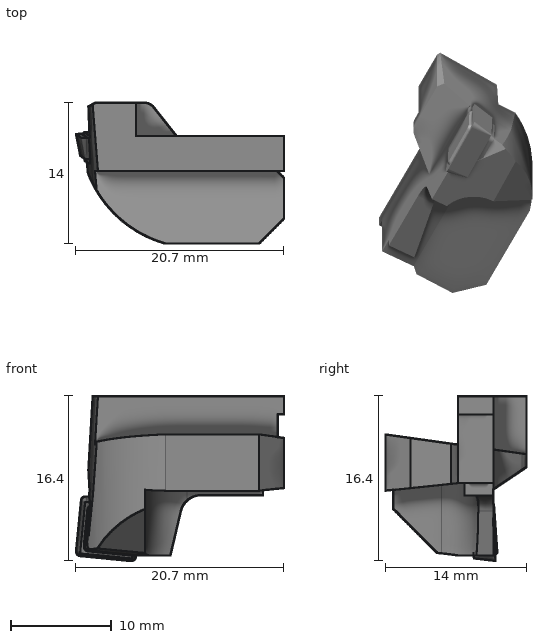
import cadquery as cq
import math


def tan(angle):
    return math.tan(math.radians(angle))


LENGTH = 20.65
DEPTH = 14.0
HEIGHT = 16.37
REACH = 30.95

BAR_FRONT = 7.18
BAR_BACK = 10.7
NOTCH_TOP = 14.55
NOTCH_DEPTH = 0.62

HEAD_CORNER_X = 1.96
HEAD_CORNER_ANGLE = 29.0
HEAD_BACK_END = 7.35
HEAD_ROOT_END = 9.97
HEAD_CORNER_DIAMETER = 2.5
HEAD_SHELF_START = 5.96
HEAD_UNDERSIDE_BACK = 9.33
HEAD_UNDERSIDE_FRONT = 7.1

NOSE_RADIUS = 11.58
NOSE_CENTER_X = 12.01
NOSE_CENTER_Y = 11.15
FLANGE_TOP = 12.57
FLANGE_TOP_ANGLE = 8.0
FLANGE_BOTTOM = 6.98
FLANGE_BOTTOM_ANGLE = 6.0
FLANGE_ROOT = FLANGE_BOTTOM + BAR_FRONT * tan(FLANGE_BOTTOM_ANGLE)
FLANGE_CHAMFER = 2.48
FLANGE_REAR_CHAMFER = 0.66

NECK_CORNER_X = 1.63
NECK_CORNER_ANGLE = HEAD_CORNER_ANGLE
RECESS_START = 6.87
RECESS_RADIUS = 3.63
RECESS_CENTER_Y = 5.57
RECESS_END = 11.02
FOOT_BOTTOM = 6.52
FOOT_END = 18.58
FOOT_FRONT = 7.85
NECK_BOTTOM = 0.54
NECK_TIP = 9.37
NECK_LEAN = 13.3
NECK_FILLET = 2.0
BEVEL_BOTTOM_Y = 5.12
BEVEL_BOTTOM_Z = 0.8
BEVEL_ANGLE = 45.0
BASE_SLOPE_ANGLE = 6.0
BASE_TILT = 5.4

UPPER_FACE_POINT = (2.19, BAR_FRONT, HEIGHT)
UPPER_FACE_LEAN = 3.5
UPPER_FACE_SWEEP = 4.6
LOWER_FACE_POINT = (1.7, 5.78, 6.52)
LOWER_FACE_LEAN = 4.8
LOWER_FACE_SWEEP = 4.7

RELIEF_POINT = (1.14, 7.95, 1.63)
RELIEF_LEAN = -62.0
RELIEF_SWEEP = -34.0

INSERT_SIDE = 5.99
INSERT_THICKNESS = 2.15
INSERT_CLEARANCE = 11.0
INSERT_CORNER = 0.52
INSERT_NOSE = (-0.05, 10.9, 0.54)
INSERT_ROLL = 5.6
INSERT_PITCH = 4.0
LAND_INSET = 0.58
LAND_HEIGHT = 0.23
LAND_TAPER = 40.0
LAND_CORNER = 0.52
PAD_THICKNESS = 0.47
PAD_LEDGE = 0.29
PAD_TAPER = 12.0
PAD_CORNER = 0.52


def nose_y(x):
    """Y of the round nose at a given X."""
    return NOSE_CENTER_Y - math.sqrt(NOSE_RADIUS**2 - (x - NOSE_CENTER_X) ** 2)


def nose_x(y):
    """X of the round nose at a given Y."""
    return NOSE_CENTER_X - math.sqrt(NOSE_RADIUS**2 - (y - NOSE_CENTER_Y) ** 2)


def flange_top_z(y):
    """Height of the sloping top of the flange, which the shelf on the head continues."""
    return FLANGE_TOP - y * tan(FLANGE_TOP_ANGLE)


def make_bar():
    bar = cq.Workplane("XY").box(LENGTH, BAR_BACK - BAR_FRONT, HEIGHT - FLANGE_ROOT, centered=False)
    bar = bar.translate((0, BAR_FRONT, FLANGE_ROOT))
    notch_floor = LENGTH - NOTCH_DEPTH
    notch = cq.Workplane("XY").box(2 * NOTCH_DEPTH, DEPTH, NOTCH_TOP, centered=False)
    return bar.cut(notch.translate((notch_floor, 0, 0)))


def make_head():
    corner_run = HEAD_CORNER_X * tan(HEAD_CORNER_ANGLE)
    plan = (
        cq.Workplane("XY")
        .moveTo(0, BAR_BACK)
        .lineTo(0, DEPTH - corner_run)
        .lineTo(HEAD_CORNER_X, DEPTH)
        .lineTo(HEAD_BACK_END, DEPTH)
        .lineTo(HEAD_ROOT_END, BAR_BACK)
        .close()
        .extrude(HEIGHT)
    )
    rounded_edge = cq.selectors.NearestToPointSelector((HEAD_BACK_END, DEPTH, HEIGHT / 2))
    plan = plan.edges("|Z").edges(rounded_edge).fillet(HEAD_CORNER_DIAMETER / 2)

    side = (
        cq.Workplane("YZ")
        .polyline([
            (BAR_BACK, HEAD_UNDERSIDE_FRONT),
            (DEPTH, HEAD_UNDERSIDE_BACK),
            (DEPTH, HEIGHT),
            (BAR_BACK, HEIGHT),
        ])
        .close()
        .extrude(REACH)
    )
    shelf = (
        cq.Workplane("YZ", origin=(HEAD_SHELF_START, 0, 0))
        .polyline([
            (BAR_BACK, flange_top_z(BAR_BACK)),
            (DEPTH, flange_top_z(DEPTH)),
            (DEPTH, HEIGHT),
            (BAR_BACK, HEIGHT),
        ])
        .close()
        .extrude(REACH)
    )
    return plan.intersect(side).cut(shelf)


def make_flange():
    nose_front = nose_x(0)
    nose_back = nose_x(BAR_FRONT)
    nose_middle = (nose_front + nose_back) / 2
    plan = (
        cq.Workplane("XY")
        .moveTo(nose_back, BAR_FRONT)
        .threePointArc((nose_middle, nose_y(nose_middle)), (nose_front, 0))
        .lineTo(LENGTH - FLANGE_CHAMFER, 0)
        .lineTo(LENGTH, FLANGE_CHAMFER)
        .lineTo(LENGTH, BAR_FRONT - FLANGE_REAR_CHAMFER)
        .lineTo(LENGTH - FLANGE_REAR_CHAMFER, BAR_FRONT)
        .close()
        .extrude(HEIGHT)
    )
    side = (
        cq.Workplane("YZ")
        .polyline([
            (0, FLANGE_BOTTOM),
            (BAR_FRONT, FLANGE_ROOT),
            (BAR_FRONT, flange_top_z(BAR_FRONT)),
            (0, FLANGE_TOP),
        ])
        .close()
        .extrude(REACH)
    )
    return plan.intersect(side)


def neck_plan():
    """Round nose on the outside, scooped recess on the right, straight back."""
    recess_center_x = RECESS_START + RECESS_RADIUS
    recess_middle = RECESS_RADIUS / math.sqrt(2)
    end_offset = RECESS_END - recess_center_x
    recess_end_y = RECESS_CENTER_Y + math.sqrt(RECESS_RADIUS**2 - end_offset**2)
    nose_back = nose_x(BAR_BACK)
    nose_middle = (nose_back + RECESS_START) / 2
    return (
        cq.Workplane("XY")
        .moveTo(nose_back, BAR_BACK)
        .threePointArc((nose_middle, nose_y(nose_middle)), (RECESS_START, nose_y(RECESS_START)))
        .lineTo(RECESS_START, RECESS_CENTER_Y)
        .threePointArc(
            (recess_center_x - recess_middle, RECESS_CENTER_Y + recess_middle),
            (RECESS_END, recess_end_y),
        )
        .lineTo(FOOT_END, FOOT_FRONT)
        .lineTo(FOOT_END, BAR_BACK)
        .close()
        .extrude(HEIGHT)
    )


def neck_front():
    """Leaning right side of the neck, filleted into the underside of the foot."""
    lean_run = (FOOT_BOTTOM - NECK_BOTTOM) * tan(NECK_LEAN)
    inner_corner = NECK_TIP + lean_run
    profile = (
        cq.Workplane("XZ")
        .polyline([
            (0, NECK_BOTTOM),
            (NECK_TIP, NECK_BOTTOM),
            (inner_corner, FOOT_BOTTOM),
            (FOOT_END, FOOT_BOTTOM),
            (FOOT_END, FLANGE_ROOT),
            (0, FLANGE_ROOT),
        ])
        .close()
        .extrude(-REACH)
    )
    filleted_edge = cq.selectors.NearestToPointSelector((inner_corner, REACH / 2, FOOT_BOTTOM))
    return profile.edges("|Y").edges(filleted_edge).fillet(NECK_FILLET)


def neck_side():
    """Bevelled front and sloping base, tipped down toward +X."""
    bevel_top = BEVEL_BOTTOM_Z + BEVEL_BOTTOM_Y * tan(BEVEL_ANGLE)
    base_run = BAR_BACK - BEVEL_BOTTOM_Y
    profile = (
        cq.Workplane("YZ")
        .polyline([
            (0, bevel_top),
            (BEVEL_BOTTOM_Y, BEVEL_BOTTOM_Z),
            (BAR_BACK, BEVEL_BOTTOM_Z - base_run * tan(BASE_SLOPE_ANGLE)),
            (BAR_BACK, HEIGHT),
            (0, HEIGHT),
        ])
        .close()
        .extrude(REACH, both=True)
    )
    pivot = (RECESS_START, 0, BEVEL_BOTTOM_Z)
    return profile.rotate(pivot, (RECESS_START, 1, BEVEL_BOTTOM_Z), BASE_TILT)


def make_neck():
    return neck_plan().intersect(neck_front()).intersect(neck_side())


def neck_corner_bevel():
    """Prism that bevels the back corner of the neck, up to the underside of the head."""
    bevel_run = NECK_CORNER_X * tan(NECK_CORNER_ANGLE)
    return (
        cq.Workplane("XY")
        .polyline([(0, BAR_BACK), (NECK_CORNER_X, BAR_BACK), (0, BAR_BACK - bevel_run)])
        .close()
        .extrude(HEAD_UNDERSIDE_FRONT)
    )


def end_face_cutter(point, lean, sweep):
    """Large block whose +X side is a tilted end face through the given point."""
    block = cq.Workplane("XY").box(REACH, 2 * REACH, 2 * REACH).translate((-REACH / 2, 0, 0))
    block = block.rotate((0, 0, 0), (0, 1, 0), lean)
    block = block.rotate((0, 0, 0), (0, 0, 1), sweep)
    return block.translate(point)


def tapered_plate(inset, thickness, taper, corner):
    """Rounded square plate in the insert's frame, narrowing from y = 0 toward -Y."""
    side = INSERT_SIDE - 2 * inset
    outline = cq.Sketch().rect(side, side).vertices().fillet(corner)
    middle = INSERT_SIDE / 2
    plate = cq.Workplane("XZ", origin=(middle, 0, middle)).placeSketch(outline)
    return plate.extrude(thickness, taper=taper)


def place_at_nose(shape):
    """Tilt a shape from the insert's frame and move it to the insert's nose."""
    shape = shape.rotate((0, 0, 0), (0, 1, 0), INSERT_ROLL)
    shape = shape.rotate((0, 0, 0), (1, 0, 0), INSERT_PITCH)
    return shape.translate(INSERT_NOSE)


def make_insert():
    """Square plate with side clearance and a raised land on its rake face."""
    plate = tapered_plate(0, INSERT_THICKNESS, INSERT_CLEARANCE, INSERT_CORNER)
    land = tapered_plate(LAND_INSET, LAND_HEIGHT, LAND_TAPER, LAND_CORNER)
    return place_at_nose(plate.union(land.mirror("XZ")))


def make_seat_pad():
    inset = INSERT_THICKNESS * tan(INSERT_CLEARANCE) + PAD_LEDGE
    pad = tapered_plate(inset, PAD_THICKNESS, PAD_TAPER, PAD_CORNER)
    return place_at_nose(pad.translate((0, -INSERT_THICKNESS, 0)))


def make_housing(insert):
    housing = make_bar().union(make_head()).union(make_flange()).union(make_neck())
    upper_cutter = end_face_cutter(UPPER_FACE_POINT, UPPER_FACE_LEAN, UPPER_FACE_SWEEP)
    lower_cutter = end_face_cutter(LOWER_FACE_POINT, LOWER_FACE_LEAN, LOWER_FACE_SWEEP)
    relief = end_face_cutter(RELIEF_POINT, RELIEF_LEAN, RELIEF_SWEEP)
    housing = housing.cut(upper_cutter.intersect(lower_cutter)).cut(neck_corner_bevel()).cut(relief)
    return housing.union(make_seat_pad()).cut(insert)


insert = make_insert()
housing = make_housing(insert)

result = cq.Compound.makeCompound([*housing.solids().vals(), *insert.solids().vals()])